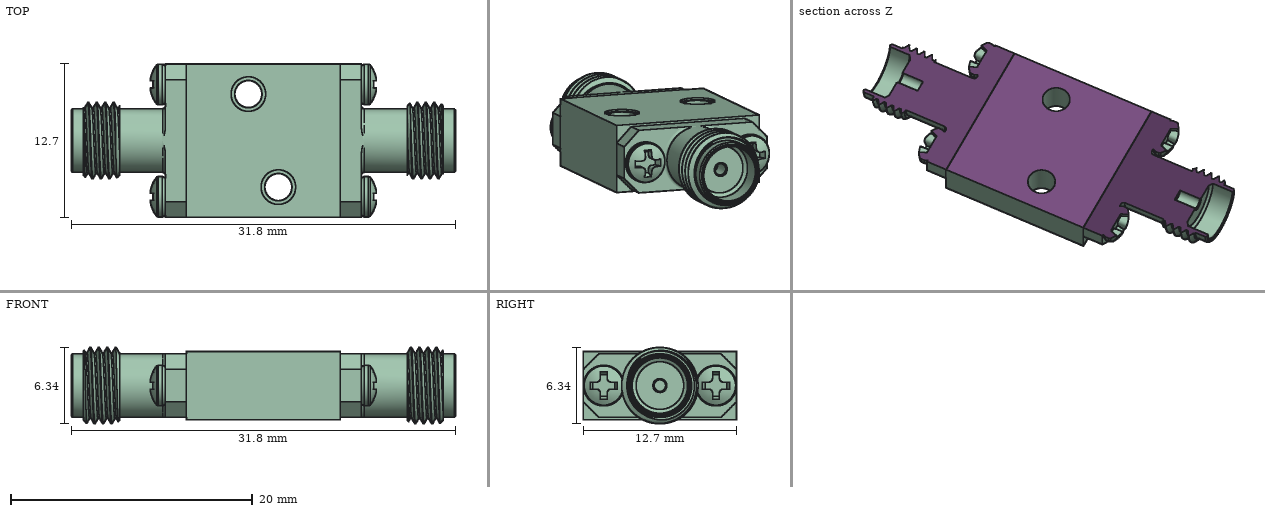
import cadquery as cq
import math

housing_length = 12.75
housing_width = 12.7
housing_height = 5.67
mount_hole_x = 1.25
mount_hole_y = 3.85
mount_hole_radius = 1.1
mount_rim_radius = 1.43
mount_rim_depth = 0.15

flange_thickness = 1.75
flange_height = 5.3
flange_corner = 1.3
flange_face_x = -(housing_length / 2 + flange_thickness)

tip_x = -15.92
barrel_radius = flange_height / 2
tip_chamfer = 0.13
root_fillet = 0.22

thread_radius = 3.17
thread_root_radius = 2.75
thread_end_radius = 2.87
thread_end_clearance = 0.15
thread_pitch = 0.7
thread_start_x = -14.9
thread_end_x = -11.9
thread_flank_angle = 30
thread_crest_half = 0.03
thread_embed = 0.015
thread_crest_x = -14.33
thread_overrun_turns = 2

socket_radius = 2.3
socket_lip = 0.1
socket_depth = 1.88
socket_floor_radius = 1.97
socket_floor_depth = 2.1
contact_radius = 0.48
contact_rim_radius = 0.57
contact_depth = 1.9

screw_y = 4.65
head_radius = 1.7
head_base_radius = 1.55
head_base_height = 0.25
head_side_height = 0.57
head_height = 1.3
dome_radius = 2.55
dome_edge_radius = 1.62
slot_half_length = 1.25
slot_floor_half_length = 0.9
slot_half_width = 0.3
slot_corner = 0.32
slot_depth = 0.9


def make_housing():
    """Rectangular block with two diagonal, shallowly counterbored through holes."""
    block = cq.Workplane("XY").box(housing_length, housing_width, housing_height)
    return (
        block.faces(">Z").workplane()
        .pushPoints([(-mount_hole_x, mount_hole_y), (mount_hole_x, -mount_hole_y)])
        .cboreHole(2 * mount_hole_radius, 2 * mount_rim_radius, mount_rim_depth)
    )


def make_flange():
    """Plate against the left end of the housing, with four cut corners."""
    return (
        cq.Workplane("YZ", origin=(flange_face_x, 0, 0))
        .rect(housing_width, flange_height)
        .extrude(flange_thickness)
        .edges("|X").chamfer(flange_corner)
    )


def make_barrel():
    """Round barrel with a chamfered tip, standing out from the flange."""
    return (
        cq.Workplane("YZ", origin=(flange_face_x, 0, 0))
        .circle(barrel_radius)
        .extrude(tip_x - flange_face_x)
        .faces("<X").chamfer(tip_chamfer)
    )


def make_root_fillet():
    """Concave collar between barrel and flange, trimmed to the flange height."""
    collar_x = flange_face_x - root_fillet
    collar_radius = barrel_radius + root_fillet
    arc_offset = root_fillet * (1 - math.sqrt(0.5))
    collar = (
        cq.Workplane("XY")
        .moveTo(collar_x, 0)
        .lineTo(collar_x, barrel_radius)
        .threePointArc(
            (flange_face_x - arc_offset, barrel_radius + arc_offset),
            (flange_face_x, collar_radius),
        )
        .lineTo(flange_face_x, 0)
        .close()
        .revolve(360, (0, 0, 0), (1, 0, 0))
    )
    trim = cq.Workplane("XY").box(2 * abs(tip_x), 2 * collar_radius, flange_height)
    return collar.intersect(trim)


def make_thread():
    """Root cylinder with a helical ridge, with both ends bevelled."""
    length = thread_end_x - thread_start_x
    span_radius = thread_radius + thread_end_clearance
    inner_radius = thread_root_radius - thread_embed
    flank_slope = math.tan(math.radians(thread_flank_angle))
    foot_half = thread_crest_half + (thread_radius - inner_radius) * flank_slope
    overrun = thread_overrun_turns * thread_pitch
    helix_start_x = thread_crest_x - overrun
    helix_length = length + 2 * overrun
    helix = cq.Wire.makeHelix(thread_pitch, helix_length, inner_radius)
    ridge = (
        cq.Workplane("XZ")
        .polyline([
            (inner_radius, -foot_half),
            (thread_radius, -thread_crest_half),
            (thread_radius, thread_crest_half),
            (inner_radius, foot_half),
        ])
        .close()
        .sweep(helix, isFrenet=True)
        .rotate((0, 0, 0), (0, 1, 0), 90)
        .rotate((0, 0, 0), (1, 0, 0), 180)
        .translate((helix_start_x, 0, 0))
    )
    core = (
        cq.Workplane("YZ", origin=(helix_start_x - overrun, 0, 0))
        .circle(thread_root_radius)
        .extrude(helix_length + 2 * overrun)
    )
    span = (
        cq.Workplane("YZ", origin=(thread_start_x, 0, 0))
        .circle(span_radius)
        .extrude(length)
        .edges().chamfer(span_radius - thread_end_radius)
    )
    return core.union(ridge).intersect(span)


def make_socket():
    """Cutter for the socket, its tapered floor edge and the contact hole."""
    rim_depth = contact_rim_radius - contact_radius
    floor_x = tip_x + socket_floor_depth
    return (
        cq.Workplane("XY")
        .moveTo(tip_x, 0)
        .lineTo(tip_x, socket_radius + socket_lip)
        .lineTo(tip_x + socket_lip, socket_radius)
        .lineTo(tip_x + socket_depth, socket_radius)
        .lineTo(floor_x, socket_floor_radius)
        .lineTo(floor_x, contact_rim_radius)
        .lineTo(floor_x + rim_depth, contact_radius)
        .lineTo(floor_x + contact_depth, contact_radius)
        .lineTo(floor_x + contact_depth, 0)
        .close()
        .revolve(360, (0, 0, 0), (1, 0, 0))
    )


def make_cross_slot():
    """Cutter for a cross slot: two crossing arms with sloped ends and rounded inner corners."""
    arm = (
        cq.Workplane("XZ", origin=(0, slot_half_width, 0))
        .polyline([
            (-slot_floor_half_length, head_height - slot_depth),
            (slot_floor_half_length, head_height - slot_depth),
            (slot_half_length, head_height),
            (-slot_half_length, head_height),
        ])
        .close()
        .extrude(2 * slot_half_width)
    )
    cross = arm.union(arm.rotate((0, 0, 0), (0, 0, 1), 90))
    return cross.edges("|Z").fillet(slot_corner)


def dome_height(radius):
    """Height of the screw dome at a distance from the screw axis."""
    return head_height - dome_radius + math.sqrt(dome_radius**2 - radius**2)


def make_screw_head():
    """Domed head with a tapered cross slot, standing on the XY plane."""
    half_radius = dome_edge_radius / 2
    head = (
        cq.Workplane("XZ")
        .lineTo(head_base_radius, 0)
        .lineTo(head_radius, head_base_height)
        .lineTo(head_radius, head_side_height)
        .lineTo(dome_edge_radius, dome_height(dome_edge_radius))
        .threePointArc((half_radius, dome_height(half_radius)), (0, head_height))
        .close()
        .revolve(360, (0, 0, 0), (0, 1, 0))
    )
    return head.cut(make_cross_slot())


def make_connector():
    """Left-hand connector: flange, threaded barrel, socket and two screw heads."""
    connector = make_flange().union(make_barrel()).union(make_root_fillet())
    connector = connector.union(make_thread()).cut(make_socket())
    head = make_screw_head().rotate((0, 0, 0), (0, 1, 0), -90)
    for side in (-1, 1):
        connector = connector.union(head.translate((flange_face_x, side * screw_y, 0)))
    return connector


housing = make_housing()
left_connector = make_connector()
connectors = [left_connector.rotate((0, 0, 0), (0, 0, 1), turn).val() for turn in (0, 180)]

result = cq.Compound.makeCompound([housing.val(), *connectors])